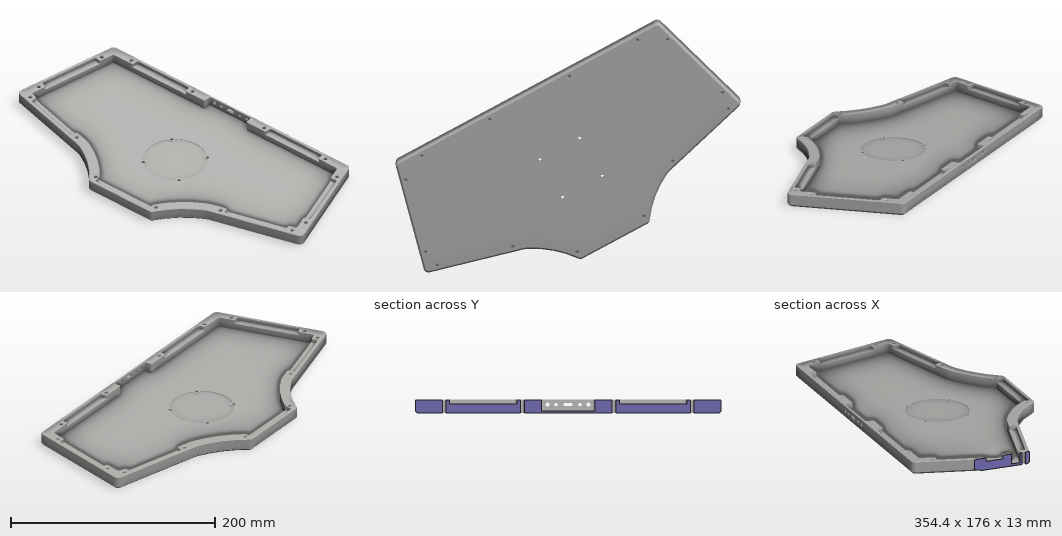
import cadquery as cq
import math

half_width = 177.22
depth = 176.04
back_y = 89.0
front_y = back_y - depth
height = 13.0
slant = math.radians(15)
corner_radius = 5.0
wing_corner_drop = 113.7
neck_start_x = 80.3
foot_half_width = 38.8
neck_radius = 105.0
neck_blend_radius = 26.0
top_chamfer = 0.5
bottom_chamfer = 2.0

floor_z = 2.8
rim_width = 10.3
cavity_corner_radius = 2.5

screw_inset = 6.0
screw_diameter = 3.3
screw_mouth_diameter = 5.0
screw_mouth_depth = 0.8
screw_spacing = 76.5
back_screw_x = 44.8
side_screw_offset = 19.1
wing_screw_offset = 13.6
front_screw_x = 37.5
front_screw_inset = 9.0

shelf_z = 9.3
shelf_wall = 3.3
shelf_end_gap = 5.5
front_shelf_end_gap = 3.8
shelf_corner_radius = 2.0

bay_half_width = 26.0
bay_wall = 2.2
bay_drop = 0.2
bay_floor_z = floor_z - bay_drop
bay_corner_radius = 2.0
port_z = 8.2
port_slot_length = 9.0
port_slot_height = 3.2
inner_port_x = 11.6
inner_port_diameter = 3.2
outer_port_x = 20.0
outer_port_diameter = 3.7

recess_diameter = 63.0
recess_depth = 0.5
recess_screw_offset = 22.3
recess_screw_diameter = 3.2
recess_lug_diameter = 7.0

wing_corner_x = half_width + corner_radius * (math.cos(slant) + math.sin(slant) - 1)
wing_corner = (wing_corner_x, back_y - wing_corner_drop)
back_corner = (wing_corner_x - wing_corner_drop * math.tan(slant), back_y)
neck_start = (neck_start_x, wing_corner[1] - (wing_corner_x - neck_start_x) * math.tan(slant))
foot_corner = (foot_half_width, front_y)

back_edge = ((0, back_y), 0.0)
side_edge = (back_corner, slant - math.pi / 2)
wing_edge = (wing_corner, slant - math.pi)
front_edge = ((0, front_y), math.pi)


def mirrored(point):
    return (-point[0], point[1])


def on_edge(edge, along, inset):
    """Point a distance along an edge and an inset into the part."""
    (x, y), angle = edge
    return (
        x + along * math.cos(angle) + inset * math.sin(angle),
        y + along * math.sin(angle) - inset * math.cos(angle),
    )


def round_uprights(solid, points, radius):
    """Round the vertical edges nearest to the given points, on both halves."""
    for point in points:
        for x, y in (point, mirrored(point)):
            nearest = cq.selectors.NearestToPointSelector((x, y, height / 2))
            solid = solid.edges("|Z").edges(nearest).fillet(radius)
    return solid


def make_blank():
    blank = (
        cq.Workplane("XY")
        .moveTo(*mirrored(back_corner))
        .lineTo(*back_corner)
        .lineTo(*wing_corner)
        .lineTo(*neck_start)
        .radiusArc(foot_corner, -neck_radius)
        .lineTo(*mirrored(foot_corner))
        .radiusArc(mirrored(neck_start), -neck_radius)
        .lineTo(*mirrored(wing_corner))
        .close()
        .extrude(height)
    )
    blank = round_uprights(blank, [neck_start], neck_blend_radius)
    return round_uprights(blank, [back_corner, wing_corner, foot_corner], corner_radius)


def make_cavity(blank):
    outline = blank.faces("<Z").wires().val()
    inner = outline.offset2D(-rim_width)[0]
    cavity = cq.Workplane("XY").add(inner).toPending().extrude(height)
    cavity = cavity.translate((0, 0, floor_z))
    return round_uprights(cavity, [back_corner, wing_corner], cavity_corner_radius)


def make_rim_notch(edge, start, end, wall, bottom_z, radius):
    """Notch from the cavity into the rim: rounded outer corners, flared where it meets the cavity."""
    def place(along, inset):
        return on_edge(edge, along, inset)

    def bend(along, inset, along_sign, inset_sign):
        offset = radius * (1 - math.sqrt(0.5))
        return place(along + along_sign * offset, inset + inset_sign * offset)

    return (
        cq.Workplane("XY", origin=(0, 0, bottom_z))
        .moveTo(*place(start - radius, rim_width))
        .threePointArc(bend(start, rim_width, -1, -1), place(start, rim_width - radius))
        .lineTo(*place(start, wall + radius))
        .threePointArc(bend(start, wall, 1, 1), place(start + radius, wall))
        .lineTo(*place(end - radius, wall))
        .threePointArc(bend(end, wall, -1, 1), place(end, wall + radius))
        .lineTo(*place(end, rim_width - radius))
        .threePointArc(bend(end, rim_width, 1, -1), place(end + radius, rim_width))
        .close()
        .extrude(height)
    )


def make_shelf(edge, first_screw, last_screw, end_gap):
    return make_rim_notch(
        edge, first_screw + end_gap, last_screw - end_gap, shelf_wall, shelf_z, shelf_corner_radius
    )


def make_screw_holes(points):
    """Rim screw holes: through, with a countersunk mouth."""
    radius = screw_diameter / 2
    mouth_radius = screw_mouth_diameter / 2
    mouth_base = cq.Vector(0, 0, height - screw_mouth_depth)
    hole = cq.Solid.makeCylinder(radius, height)
    mouth = cq.Solid.makeCone(radius, mouth_radius, screw_mouth_depth, mouth_base)
    tool = hole.fuse(mouth)
    return cq.Workplane("XY").pushPoints(points).eachpoint(lambda place: tool.moved(place))


def cut_shelves_and_screws(tray):
    pairs = [
        (back_edge, back_screw_x),
        (side_edge, side_screw_offset),
        (wing_edge, wing_screw_offset),
    ]
    screws = [on_edge(front_edge, front_screw_x, front_screw_inset)]
    for edge, first in pairs:
        last = first + screw_spacing
        shelf = make_shelf(edge, first, last, shelf_end_gap)
        tray = tray.cut(shelf).cut(shelf.mirror("YZ"))
        screws += [on_edge(edge, along, screw_inset) for along in (first, last)]
    tray = tray.cut(make_shelf(front_edge, -front_screw_x, front_screw_x, front_shelf_end_gap))
    screws += [mirrored(point) for point in screws]
    return tray.cut(make_screw_holes(screws))


def cut_connector_bay(tray):
    bay = make_rim_notch(
        back_edge, -bay_half_width, bay_half_width, bay_wall, bay_floor_z, bay_corner_radius
    )
    ports = (
        cq.Workplane("XZ", origin=(0, back_y, port_z))
        .slot2D(port_slot_length, port_slot_height)
        .pushPoints([(-inner_port_x, 0), (inner_port_x, 0)])
        .circle(inner_port_diameter / 2)
        .pushPoints([(-outer_port_x, 0), (outer_port_x, 0)])
        .circle(outer_port_diameter / 2)
        .extrude(rim_width)
    )
    return tray.cut(bay).cut(ports)


def cut_round_recess(tray):
    signs = (-1, 1)
    screws = [(sx * recess_screw_offset, sy * recess_screw_offset) for sx in signs for sy in signs]
    floor = cq.Workplane("XY", origin=(0, 0, floor_z))
    recess = floor.circle(recess_diameter / 2).extrude(-recess_depth)
    lugs = floor.pushPoints(screws).circle(recess_lug_diameter / 2).extrude(-recess_depth)
    holes = floor.pushPoints(screws).circle(recess_screw_diameter / 2).extrude(-floor_z)
    return tray.cut(recess.cut(lugs)).cut(holes)


blank = make_blank()
tray = blank.faces(">Z").edges().chamfer(top_chamfer)
tray = tray.faces("<Z").edges().chamfer(bottom_chamfer)
tray = tray.cut(make_cavity(blank))
tray = cut_shelves_and_screws(tray)
tray = cut_connector_bay(tray)
result = cut_round_recess(tray)